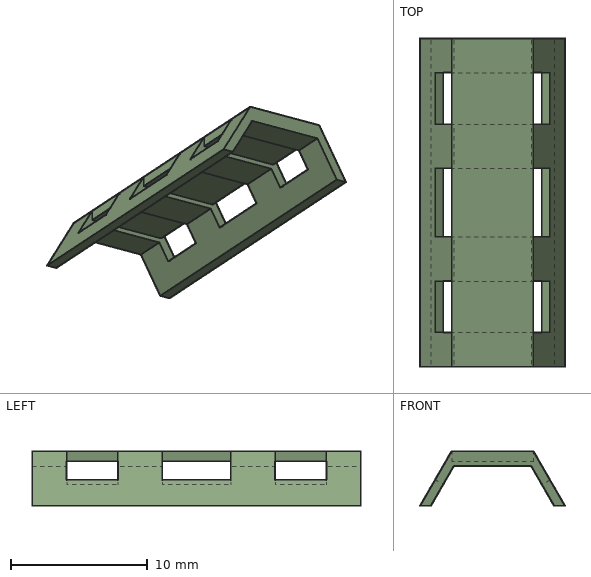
import cadquery as cq
import math

length = 24.0
base_width = 10.6
height = 4.0
wall_angle = math.radians(60)
wall_thickness = 0.7
roof_thickness = 1.1

window_roof_thickness = 0.75
sill_height = 1.92
middle_window_length = 5.0
end_window_length = 3.75
window_gap = 3.25
overrun = 1.2

end_window_offset = (middle_window_length + end_window_length) / 2 + window_gap
windows = [
    (-end_window_offset, end_window_length),
    (0.0, middle_window_length),
    (end_window_offset, end_window_length),
]


def outer_half_width(z):
    """Distance from the centre plane to the outer wall face at height z."""
    return base_width / 2 - z / math.tan(wall_angle)


def inner_half_width(z):
    """Distance from the centre plane to the inner wall face at height z."""
    return outer_half_width(z) - wall_thickness / math.sin(wall_angle)


def extrude_along_y(right_half, center_y, depth):
    """Mirror a right-half XZ outline and extrude it about center_y."""
    left_half = [(-x, z) for x, z in reversed(right_half)]
    return (
        cq.Workplane("XZ", origin=(0, center_y, 0))
        .polyline(right_half + left_half)
        .close()
        .extrude(depth / 2, both=True)
    )


def make_channel():
    roof_underside = height - roof_thickness
    return extrude_along_y(
        [
            (inner_half_width(roof_underside), roof_underside),
            (inner_half_width(0), 0),
            (outer_half_width(0), 0),
            (outer_half_width(height), height),
        ],
        0,
        length,
    )


def make_window_cutter(center_y, window_length):
    """Cut both walls above sills square to them, and thin the roof between."""
    roof_edge = outer_half_width(height)
    relief_top = height - window_roof_thickness
    sill_x = outer_half_width(sill_height)
    sill_inner_x = sill_x - wall_thickness * math.sin(wall_angle)
    sill_inner_z = sill_height - wall_thickness * math.cos(wall_angle)
    sill_slope = 1 / math.tan(wall_angle)
    outer_x = sill_x + overrun
    return extrude_along_y(
        [
            (sill_inner_x, sill_inner_z),
            (outer_x, sill_height + overrun * sill_slope),
            (outer_x, height + overrun),
            (roof_edge, height + overrun),
            (roof_edge, relief_top),
        ],
        center_y,
        window_length,
    )


result = make_channel()
for center_y, window_length in windows:
    result = result.cut(make_window_cutter(center_y, window_length))